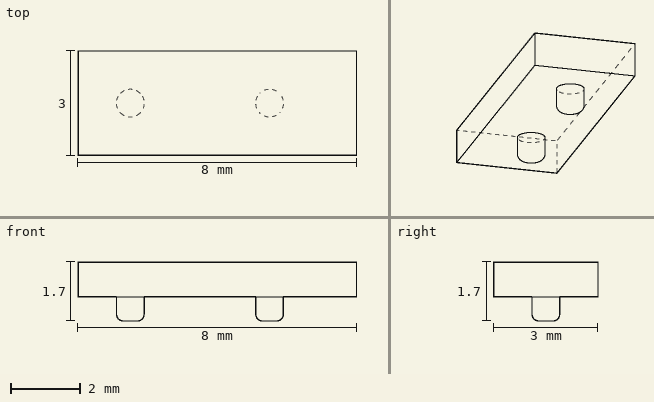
import cadquery as cq

block_length = 8.0
block_width = 3.0
block_height = 1.0

overall_height = 1.7
pin_diameter = 0.8
pin_tip_radius = 0.2
pin_spacing = block_length / 2
pin_length = overall_height - block_height

first_pin_x = -block_length / 2 + block_width / 2


def make_block():
    """Block centred in X and Y, with its underside at Z = 0."""
    return cq.Workplane("XY").box(
        block_length, block_width, block_height, centered=(True, True, False)
    )


def make_pin(x):
    """Pin hanging from the underside of the block on its centre line."""
    return (
        cq.Workplane("XY")
        .center(x, 0)
        .circle(pin_diameter / 2)
        .extrude(-pin_length)
        .faces("<Z")
        .edges()
        .fillet(pin_tip_radius)
    )


result = make_block()
for pin_x in (first_pin_x, first_pin_x + pin_spacing):
    result = result.union(make_pin(pin_x))